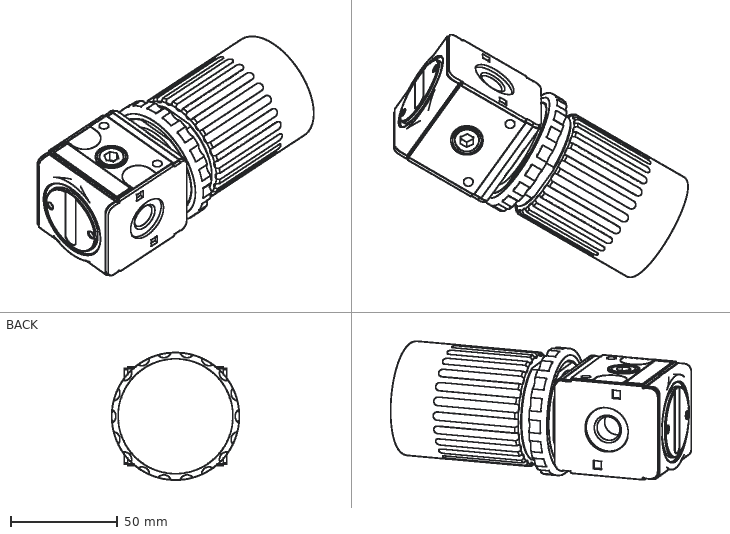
import cadquery as cq
import math


block_front = 1.0
block_back = 53.2
collar_front = 55.6
ring_front = 55.5
ring_back = 63.8
collar_back = 69.8
knob_front = 70.4
knob_back = 134.0
port_y = 26.8

block_width = 48.2
core_width = 45.0
side_inset = 0.5
block_half_height = 22.5
corner_radius = 3.6
band_half_height = 22.2
band_front = 7.8
band_back = 49.2
panel_half_height = 23.2
panel_front = 8.7
panel_back = 45.0
panel_edge_run = 0.4
bulge_diameter = 45.0
bulge_length = 10.7

cover_recess_diameter = 37.7
cover_recess_mouth = 38.6
cover_recess_depth = 0.8
cover_diameter = 33.6
cover_chamfer = 0.5
cover_slot_width = 7.0
cover_slot_depth = 0.3
cover_slot_end = -15.1
cover_slot_shoulder = -12.9
pin_hole_diameter = 3.2
pin_hole_mouth = 4.0
pin_hole_depth = 2.0
pin_hole_x = 13.8

port_diameter = 11.4
port_mouth = 13.4
port_chamfer = (port_mouth - port_diameter) / 2
port_depth = 13.4
port_recess_diameter = 21.5
mark_depth = 1.6
mark_size = 4.0
mark_offset_y = 4.7
mark_z = 17.5

plug_diameter = 15.1
plug_half_height = 23.6
plug_head_diameter = 11.4
plug_groove_diameter = 13.4
hex_across_flats = 6.0
hex_depth = 5.4
mount_hole_diameter = 4.4
mount_hole_x = 18.1
mount_hole_y = 39.3
pad_diameter = plug_diameter
pad_center_x = 18.2
pad_depth = 0.1
label_width = 42.6
label_front = 9.8
label_back = 18.6
label_depth = 0.3

neck_diameter = 39.5
neck_across_flats = 35.6
collar_diameter = 48.0
collar_across_flats = 44.0
collar_chamfer = 0.7

ring_diameter = 60.0
ring_bore_diameter = 48.8
ring_back_fillet = 1.1
ring_front_fillet = 1.1
ring_recess_diameter = 54.0
ring_recess_depth = 0.1
notch_count = 18
notch_diameter = 7.1
notch_depth = 2.0
notch_front = 57.9

knob_diameter = 54.0
knob_back_fillet = 2.0
knob_front_chamfer = 1.2
groove_count = 24
groove_diameter = 4.0
groove_back = 112.2
lip_tip_diameter = 46.4


def rod(diameter, start, end, x=0.0, z=0.0):
    """Cylinder along Y from start to end."""
    return cq.Workplane("XZ", origin=(x, start, z)).circle(diameter / 2).extrude(start - end)


def taper(start_diameter, start, end_diameter, end, x=0.0):
    """Cone frustum along Y, start_diameter wide at start and end_diameter wide at end."""
    return (
        cq.Workplane("XZ", origin=(x, start, 0))
        .circle(start_diameter / 2)
        .workplane(offset=start - end)
        .circle(end_diameter / 2)
        .loft()
    )


def cuboid(width, start, end, bottom, top):
    """Box centred on X = 0, from start to end in Y and from bottom to top in Z."""
    size = (width, end - start, top - bottom)
    center = (0, (start + end) / 2, (bottom + top) / 2)
    return cq.Workplane("XY").box(*size).translate(center)


def block_layer(width, inset):
    """Rounded block with a shallow band and a raised panel on its top and bottom."""
    half_height = block_half_height - inset
    band = band_half_height - inset
    front = block_front + inset
    back = block_back - inset
    layer = cuboid(width, front, back, -half_height, half_height)
    layer = layer.edges("|X").fillet(corner_radius)
    for low, high in ((band, half_height), (-half_height, -band)):
        layer = layer.cut(cuboid(width, band_front + inset, band_back - inset, low, high))
    foot_front = panel_front + inset - panel_edge_run
    foot_back = panel_back - inset + panel_edge_run
    top = panel_half_height - inset
    panel = (
        cq.Workplane("YZ", origin=(-width / 2, 0, 0))
        .moveTo(foot_front, -band)
        .lineTo(foot_front + panel_edge_run, -top)
        .lineTo(foot_back - panel_edge_run, -top)
        .lineTo(foot_back, -band)
        .lineTo(foot_back, band)
        .lineTo(foot_back - panel_edge_run, top)
        .lineTo(foot_front + panel_edge_run, top)
        .lineTo(foot_front, band)
        .close()
        .extrude(width)
    )
    return layer.union(panel)


def make_block():
    block = block_layer(core_width, 0.0).union(block_layer(block_width, side_inset))
    return block.union(rod(bulge_diameter, block_front, block_front + bulge_length))


def add_end_cover(body):
    """Round cover in a shallow recess of the front face, with a slot and two pin holes."""
    floor = block_front + cover_recess_depth
    mouth_chamfer = (cover_recess_mouth - cover_recess_diameter) / 2
    recess = rod(cover_recess_diameter, block_front, floor).union(
        taper(cover_recess_mouth, block_front, cover_recess_diameter, block_front + mouth_chamfer)
    )
    cover = rod(cover_diameter, 0, floor).faces("<Y").chamfer(cover_chamfer)
    half_width = cover_slot_width / 2
    slot = (
        cq.Workplane("XZ")
        .moveTo(-half_width, cover_diameter / 2)
        .lineTo(-half_width, cover_slot_shoulder)
        .threePointArc((0, cover_slot_end), (half_width, cover_slot_shoulder))
        .lineTo(half_width, cover_diameter / 2)
        .close()
        .extrude(-cover_slot_depth)
    )
    body = body.cut(recess).union(cover).cut(slot)
    pin_hole_chamfer = (pin_hole_mouth - pin_hole_diameter) / 2
    for x in (-pin_hole_x, pin_hole_x):
        body = body.cut(rod(pin_hole_diameter, 0, pin_hole_depth, x=x))
        body = body.cut(taper(pin_hole_mouth, 0, pin_hole_diameter, pin_hole_chamfer, x=x))
    return body


def port_cutter():
    """Port on the -X face: shallow round recess, chamfered blind bore and two square marks."""
    face = -block_width / 2
    recess_floor = face + mark_depth
    plane = cq.Workplane("YZ", origin=(face, port_y, 0))
    cutter = plane.circle(port_recess_diameter / 2).extrude(mark_depth)
    cutter = cutter.union(plane.circle(port_diameter / 2).extrude(port_depth))
    mouth = (
        cq.Workplane("YZ", origin=(recess_floor, port_y, 0))
        .circle(port_mouth / 2)
        .workplane(offset=port_chamfer)
        .circle(port_diameter / 2)
        .loft()
    )
    marks = (
        plane.pushPoints([(-mark_offset_y, mark_z), (mark_offset_y, -mark_z)])
        .rect(mark_size, mark_size)
        .extrude(mark_depth)
    )
    return cutter.union(mouth).union(marks)


def plug_boss():
    """Round boss of the gauge plug on the top panel."""
    return (
        cq.Workplane("XY", origin=(0, port_y, block_half_height))
        .circle(plug_diameter / 2)
        .extrude(plug_half_height - block_half_height)
    )


def plug_cutter():
    """V groove around the head of the plug, and its hex socket."""
    outer = plug_groove_diameter / 2
    inner = plug_head_diameter / 2
    bottom = plug_half_height - (outer - inner)
    groove = (
        cq.Workplane("XZ", origin=(0, port_y, 0))
        .moveTo(inner, plug_half_height)
        .lineTo(outer, plug_half_height)
        .lineTo(inner, bottom)
        .close()
        .revolve(360, (0, 0, 0), (0, 1, 0))
    )
    socket = (
        cq.Workplane("XY", origin=(0, port_y, plug_half_height))
        .transformed(rotate=(0, 0, 90))
        .polygon(6, hex_across_flats / math.cos(math.pi / 6))
        .extrude(-hex_depth)
    )
    return groove.union(socket)


def cut_panel_details(body):
    """Mounting holes through the block, and the pads and label field of the top panel."""
    holes = (
        cq.Workplane("XY", origin=(0, mount_hole_y, -panel_half_height))
        .pushPoints([(-mount_hole_x, 0), (mount_hole_x, 0)])
        .circle(mount_hole_diameter / 2)
        .extrude(2 * panel_half_height)
    )
    body = body.cut(holes)
    pad_floor = panel_half_height - pad_depth
    half_pad = pad_diameter / 2
    edge = core_width / 2
    for side in (-1, 1):
        pad = (
            cq.Workplane("XY", origin=(0, port_y, pad_floor))
            .moveTo(side * edge, -half_pad)
            .lineTo(side * pad_center_x, -half_pad)
            .threePointArc((side * (pad_center_x - half_pad), 0), (side * pad_center_x, half_pad))
            .lineTo(side * edge, half_pad)
            .close()
            .extrude(pad_depth)
        )
        body = body.cut(pad)
    label_floor = panel_half_height - label_depth
    return body.cut(cuboid(label_width, label_front, label_back, label_floor, panel_half_height))


def make_bonnet():
    """Flatted neck, and the flatted collar that carries the knob."""
    neck = rod(neck_diameter, block_back, collar_front)
    neck = neck.intersect(
        cuboid(neck_across_flats, block_back, collar_front, -neck_diameter, neck_diameter)
    )
    half_flats = collar_across_flats / 2
    collar = rod(collar_diameter, collar_front, collar_back).faces(">Y").chamfer(collar_chamfer)
    collar = collar.intersect(
        cuboid(collar_diameter, collar_front, collar_back, -half_flats, half_flats)
    )
    return neck.union(collar)


def make_housing():
    body = add_end_cover(make_block())
    body = cut_panel_details(body)
    body = body.cut(port_cutter()).cut(port_cutter().mirror("YZ"))
    body = body.union(plug_boss()).union(plug_boss().mirror("XY"))
    body = body.cut(plug_cutter()).cut(plug_cutter().mirror("XY"))
    return body.union(make_bonnet())


def make_ring():
    """Mounting ring with grip notches, bored to pass over the collar."""
    ring = rod(ring_diameter, ring_front, ring_back)
    ring = ring.faces(">Y").edges().fillet(ring_back_fillet)
    ring = ring.faces("<Y").edges().fillet(ring_front_fillet)
    ring = ring.cut(rod(ring_recess_diameter, ring_front, ring_front + ring_recess_depth))
    ring = ring.cut(rod(ring_bore_diameter, ring_front, ring_back))
    pitch = 360 / notch_count
    notch_center = (ring_diameter + notch_diameter) / 2 - notch_depth
    notch = rod(notch_diameter, notch_front, ring_back, z=notch_center)
    for index in range(notch_count):
        ring = ring.cut(notch.rotate((0, 0, 0), (0, 1, 0), (index + 0.5) * pitch))
    return ring


def make_knob():
    """Adjusting knob with grip grooves along its skirt and a lip that rests on the collar."""
    knob = rod(knob_diameter, knob_front, knob_back)
    knob = knob.faces(">Y").edges().fillet(knob_back_fillet)
    knob = knob.faces("<Y").edges().chamfer(knob_front_chamfer)
    radius = groove_diameter / 2
    center_z = knob_diameter / 2
    groove_end = groove_back - radius
    groove = rod(groove_diameter, knob_front, groove_end, z=center_z)
    groove = groove.union(cq.Workplane("XY").sphere(radius).translate((0, groove_end, center_z)))
    for index in range(groove_count):
        knob = knob.cut(groove.rotate((0, 0, 0), (0, 1, 0), index * 360 / groove_count))
    lip_root_diameter = knob_diameter - 2 * knob_front_chamfer
    return knob.union(taper(lip_tip_diameter, collar_back, lip_root_diameter, knob_front))


housing = make_housing()
ring = make_ring()
knob = make_knob()

result = cq.Compound.makeCompound([housing.val(), ring.val(), knob.val()])